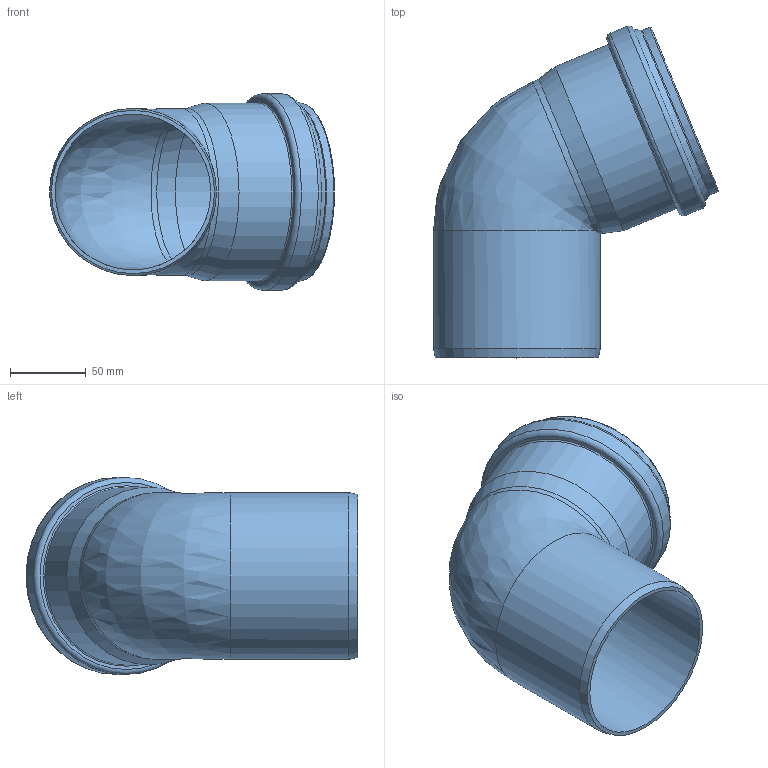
import cadquery as cq
import math


pipe_od = 110.1
bore_d = 102.7
spigot_length = 84.2
spigot_chamfer_length = 6.0
spigot_tip_od = 107.6
bend_radius = 51.0
bend_angle = 67.5

socket_wall = 3.3
socket_od = 117.2
lip_od = 117.5
socket_id = socket_od - 2 * socket_wall
lip_id = lip_od - 2 * socket_wall
collar_od = 130.0
groove_d = collar_od - 2 * socket_wall

flare_start = 4.2
flare_end = 17.4
bore_flare_end = 19.2
collar_start = 55.9
collar_end = 74.6
lip_start = 79.3
socket_length = 85.75

collar_round = socket_wall
collar_root_round = 0.9
lip_root_round = 1.5
lip_edge_round = 0.8

pipe_r = pipe_od / 2
bore_r = bore_d / 2
socket_outer_r = socket_od / 2
socket_inner_r = socket_id / 2
lip_outer_r = lip_od / 2
lip_inner_r = lip_id / 2
collar_r = collar_od / 2
groove_r = groove_d / 2


def revolve_about_y(profile):
    return profile.close().revolve(360, (0, 0, 0), (0, 1, 0))


def spigot_outside():
    profile = (
        cq.Workplane("XY")
        .moveTo(0, 0)
        .lineTo(pipe_r, 0)
        .lineTo(pipe_r, spigot_chamfer_length - spigot_length)
        .lineTo(spigot_tip_od / 2, -spigot_length)
        .lineTo(0, -spigot_length)
    )
    return revolve_about_y(profile)


def spigot_bore():
    return cq.Workplane("XZ").circle(bore_r).extrude(spigot_length)


def elbow(radius):
    """Swept disc, cut off at the bend axis where the disc reaches past it."""
    half_chord = math.sqrt(radius**2 - bend_radius**2)
    return (
        cq.Workplane("XZ")
        .moveTo(bend_radius, -half_chord)
        .threePointArc((-radius, 0), (bend_radius, half_chord))
        .close()
        .revolve(bend_angle, (bend_radius, 1, 0), (bend_radius, 0, 0))
    )


def place_at_elbow_end(body):
    return body.rotate((bend_radius, 0, 0), (bend_radius, 0, 1), -bend_angle)


def socket_outside():
    round_centre_r = collar_r - collar_round

    taper_angle = math.atan2(round_centre_r - lip_outer_r, lip_start - collar_end)
    tangent_length = lip_root_round * math.tan(taper_angle / 2)
    taper_tangent_r = lip_outer_r + tangent_length * math.sin(taper_angle)
    taper_tangent_y = lip_start - tangent_length * math.cos(taper_angle)

    profile = (
        cq.Workplane("XY")
        .moveTo(0, 0)
        .lineTo(pipe_r, 0)
        .lineTo(pipe_r, flare_start)
        .lineTo(socket_outer_r, flare_end)
        .lineTo(socket_outer_r, collar_start - collar_root_round)
        .tangentArcPoint((socket_outer_r + collar_root_round, collar_start), relative=False)
        .lineTo(round_centre_r, collar_start)
        .tangentArcPoint((collar_r, collar_start + collar_round), relative=False)
        .lineTo(collar_r, collar_end - collar_round)
        .tangentArcPoint((round_centre_r, collar_end), relative=False)
        .lineTo(taper_tangent_r, taper_tangent_y)
        .tangentArcPoint((lip_outer_r, lip_start + tangent_length), relative=False)
        .lineTo(lip_outer_r, socket_length)
        .lineTo(0, socket_length)
    )
    body = revolve_about_y(profile).edges(">Y").fillet(lip_edge_round)
    return place_at_elbow_end(body)


def socket_bore():
    """Bore that widens through the flare and holds the seal-ring groove under the collar."""
    profile = (
        cq.Workplane("XY")
        .moveTo(0, 0)
        .lineTo(bore_r, 0)
        .lineTo(bore_r, flare_start)
        .lineTo(socket_inner_r, bore_flare_end)
        .lineTo(socket_inner_r, collar_start + socket_wall)
        .lineTo(groove_r, collar_start + socket_wall)
        .lineTo(groove_r, collar_end - socket_wall)
        .lineTo(lip_inner_r, lip_start)
        .lineTo(lip_inner_r, socket_length)
        .lineTo(0, socket_length)
    )
    return place_at_elbow_end(revolve_about_y(profile))


outside = spigot_outside().union(elbow(pipe_r)).union(socket_outside())
hollow = spigot_bore().union(elbow(bore_r)).union(socket_bore())
result = outside.cut(hollow)